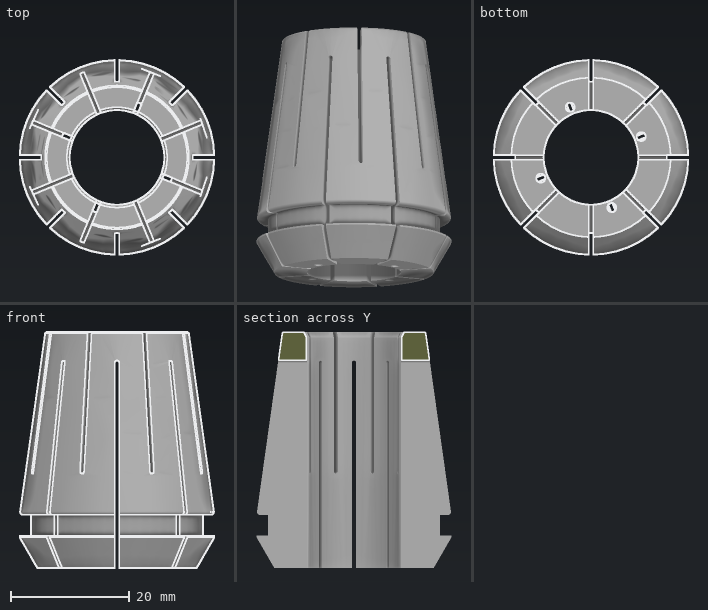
import cadquery as cq
import math

length = 40.0
max_radius = 16.5
bore_radius = 8.0

nose_angle = math.radians(30.0)
land_bottom_z = 5.2
groove_bottom_z = 5.5

groove_radius = 14.6
groove_top_z = 9.0

taper_angle = math.radians(8.0)
rim_chamfer = 0.25
taper_edge_fillet = 0.5

bore_chamfer_width = 0.5
bore_chamfer_depth = 1.0

slots_per_end = 8
slot_pitch = 360.0 / slots_per_end
slot_width = 0.75
lower_slot_top_z = 35.1
upper_slot_floor_z = 16.0
slot_overshoot = 1.0

hole_diameter = 1.5
hole_count = 4
hole_circle_radius = 9.2
first_hole_angle = 1.5 * slot_pitch

nose_radius = max_radius - land_bottom_z * math.tan(nose_angle)


def taper_radius(z):
    return max_radius - (z - groove_top_z) * math.tan(taper_angle)


def revolved_body():
    """Half section (radius, z) turned about the Z axis."""
    rim_start_z = length - rim_chamfer

    fillet_center_z = groove_top_z + taper_edge_fillet
    fillet_center_radius = taper_radius(fillet_center_z) - taper_edge_fillet / math.cos(taper_angle)
    fillet_end = (
        fillet_center_radius + taper_edge_fillet * math.cos(taper_angle),
        fillet_center_z + taper_edge_fillet * math.sin(taper_angle),
    )

    section = (
        cq.Workplane("XZ")
        .moveTo(bore_radius, 0)
        .lineTo(nose_radius, 0)
        .lineTo(max_radius, land_bottom_z)
        .lineTo(max_radius, groove_bottom_z)
        .lineTo(groove_radius, groove_bottom_z)
        .lineTo(groove_radius, groove_top_z)
        .lineTo(fillet_center_radius, groove_top_z)
        .radiusArc(fillet_end, -taper_edge_fillet)
        .lineTo(taper_radius(rim_start_z), rim_start_z)
        .lineTo(taper_radius(length) - rim_chamfer, length)
        .lineTo(bore_radius + bore_chamfer_width, length)
        .lineTo(bore_radius, length - bore_chamfer_depth)
        .close()
    )
    return section.revolve(360, (0, 0, 0), (0, 1, 0))


def slot_cutter(round_end_z, open_end_z):
    """Radial slot along +X with a half-round closed end."""
    half_width = slot_width / 2
    toward_open = math.copysign(1.0, open_end_z - round_end_z)
    round_start_z = round_end_z + toward_open * half_width
    outline = (
        cq.Workplane("YZ")
        .moveTo(-half_width, open_end_z)
        .lineTo(-half_width, round_start_z)
        .threePointArc((0, round_end_z), (half_width, round_start_z))
        .lineTo(half_width, open_end_z)
        .close()
    )
    return outline.extrude(max_radius + slot_overshoot)


def cut_slots(body, cutter, first_angle):
    for index in range(slots_per_end):
        angle = first_angle + index * slot_pitch
        body = body.cut(cutter.rotate((0, 0, 0), (0, 0, 1), angle))
    return body


def cut_axial_holes(body):
    hole_depth = upper_slot_floor_z + slot_width / 2
    holes = (
        cq.Workplane("XY")
        .polarArray(hole_circle_radius, first_hole_angle, 360, hole_count)
        .circle(hole_diameter / 2)
        .extrude(hole_depth)
    )
    return body.cut(holes)


lower_slot = slot_cutter(lower_slot_top_z, -slot_overshoot)
upper_slot = slot_cutter(upper_slot_floor_z, length + slot_overshoot)

result = revolved_body()
result = cut_slots(result, lower_slot, 0)
result = cut_slots(result, upper_slot, slot_pitch / 2)
result = cut_axial_holes(result)